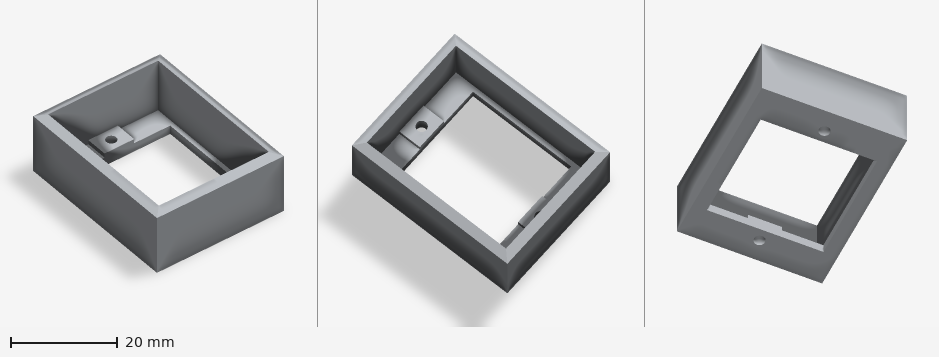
import cadquery as cq
import math

length = 38.0
width = 30.0
height = 14.0
wall = 2.0
rim_slope_angle = 20.0
rim_slope_height = wall * math.tan(math.radians(rim_slope_angle))

floor_thickness = 2.0
window_side = 24.0

pad_width = 7.0
pad_height = 1.0
hole_diameter = 2.3
hole_spacing = 29.0

inner_length = length - 2 * wall
inner_width = width - 2 * wall
ledge_length = (inner_length - window_side) / 2
ledge_center = (inner_length + window_side) / 4
pad_top = floor_thickness + pad_height


def make_frame():
    """Rectangular wall whose rim slopes from the outer faces up to the inner edge."""
    straight_height = height - rim_slope_height
    body = cq.Workplane("XY").box(length, width, straight_height, centered=(True, True, False))
    rim = (
        cq.Workplane("XY")
        .workplane(offset=straight_height)
        .rect(length, width)
        .workplane(offset=rim_slope_height)
        .rect(inner_length, inner_width)
        .loft(ruled=True)
    )
    cavity = (
        cq.Workplane("XY")
        .workplane(offset=floor_thickness)
        .rect(inner_length, inner_width)
        .extrude(height - floor_thickness)
    )
    return body.union(rim).cut(cavity)


def cut_window(part):
    """Square opening through the floor."""
    window = cq.Workplane("XY").rect(window_side, window_side).extrude(floor_thickness)
    return part.cut(window)


def add_screw_pad(part, side):
    """Raised pad with a through hole; side is -1 or +1 along X."""
    pad = (
        cq.Workplane("XY")
        .center(side * ledge_center, 0)
        .rect(ledge_length, pad_width)
        .extrude(pad_top)
    )
    hole = (
        cq.Workplane("XY")
        .center(side * hole_spacing / 2, 0)
        .circle(hole_diameter / 2)
        .extrude(pad_top)
    )
    return part.union(pad).cut(hole)


result = cut_window(make_frame())
for side in (-1, 1):
    result = add_screw_pad(result, side)